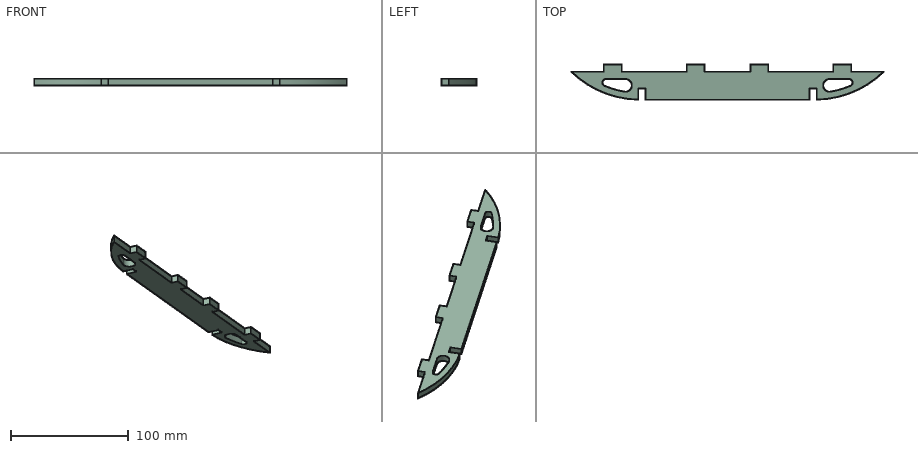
import cadquery as cq
import math

length = 266.0
thickness = 6.0
body_depth = 24.0
half_length = length / 2

tab_width = 15.5
tab_height = 6.0
tab_centers = (27.0, 97.5)

notch_outer_x = 75.8
notch_width = 5.9
notch_depth = 9.5
notch_inner_x = notch_outer_x - notch_width

end_radius = 83.8
window_top_margin = 6.5
window_rim = 5.9
window_tip_radius = 3.0
window_root_radius = 5.3


def end_arc_center():
    """Center of the arc from the outer notch corner to the right-hand tip."""
    run = half_length - notch_outer_x
    chord = math.hypot(run, body_depth)
    rise = math.sqrt(end_radius**2 - (chord / 2) ** 2)
    center_x = (notch_outer_x + half_length) / 2 - rise * body_depth / chord
    center_y = -body_depth / 2 + rise * run / chord
    return center_x, center_y


def make_body():
    return (
        cq.Workplane("XY")
        .moveTo(-half_length, 0)
        .lineTo(half_length, 0)
        .radiusArc((notch_outer_x, -body_depth), end_radius)
        .lineTo(-notch_outer_x, -body_depth)
        .radiusArc((-half_length, 0), end_radius)
        .close()
        .extrude(thickness)
    )


def make_box(center_x, bottom_y, width, height):
    return (
        cq.Workplane("XY")
        .center(center_x, bottom_y + height / 2)
        .rect(width, height)
        .extrude(thickness)
    )


def make_window():
    """Right-hand window: a flat top, a lower arc concentric with the end, rounded ends."""
    arc_x, arc_y = end_arc_center()
    lower_radius = end_radius - window_rim
    top_y = -window_top_margin

    def corner(radius):
        y = top_y - radius
        reach = lower_radius - radius
        x = arc_x + math.sqrt(reach**2 - (y - arc_y) ** 2)
        touch_x = arc_x + (x - arc_x) * lower_radius / reach
        touch_y = arc_y + (y - arc_y) * lower_radius / reach
        return x, y, (touch_x, touch_y)

    root_x, root_y, root_touch = corner(window_root_radius)
    tip_x, tip_y, tip_touch = corner(window_tip_radius)
    middle_angle = (
        math.atan2(root_touch[1] - arc_y, root_touch[0] - arc_x)
        + math.atan2(tip_touch[1] - arc_y, tip_touch[0] - arc_x)
    ) / 2
    lower_middle = (
        arc_x + lower_radius * math.cos(middle_angle),
        arc_y + lower_radius * math.sin(middle_angle),
    )
    return (
        cq.Workplane("XY")
        .moveTo(root_x, top_y)
        .lineTo(tip_x, top_y)
        .threePointArc((tip_x + window_tip_radius, tip_y), tip_touch)
        .threePointArc(lower_middle, root_touch)
        .threePointArc((root_x - window_root_radius, root_y), (root_x, top_y))
        .close()
        .extrude(thickness)
    )


result = make_body()

for side in (-1, 1):
    for tab_center in tab_centers:
        result = result.union(make_box(side * tab_center, 0, tab_width, tab_height))
    notch_center = side * (notch_outer_x + notch_inner_x) / 2
    result = result.cut(make_box(notch_center, -body_depth, notch_width, notch_depth))

window = make_window()
result = result.cut(window).cut(window.mirror("YZ"))